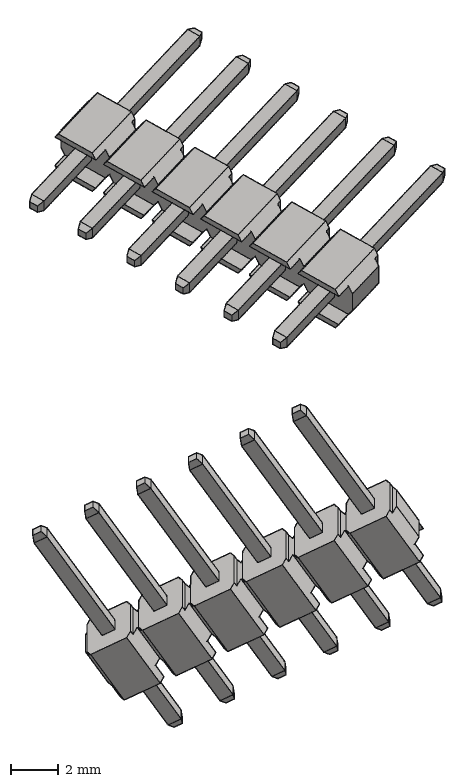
import cadquery as cq


pin_count = 6
row_length = 15.24
pitch = row_length / pin_count
body_height = pitch
flat_width = 1.77
side_height = 1.15
body_depth = 2.8
lip_thickness = 0.34
front_recess = 0.7
rear_recess = 0.21

pin_width = 0.64
pin_length = 11.8
pin_front = 3.0
tip_length = 0.3
tip_width = 0.41

body_front = -body_depth / 2
body_rear = body_depth / 2
pin_start = body_front - pin_front
pin_end = pin_start + pin_length

inner_height = body_height - 2 * lip_thickness
slope_run = (pitch - flat_width) / (body_height - side_height)
inner_width = flat_width + 2 * lip_thickness * slope_run

cell_centers = [(i - (pin_count - 1) / 2) * pitch for i in range(pin_count)]


def box_between(x_center, width, y_min, y_max, height):
    """Box centred on x_center and on Z = 0, reaching from y_min to y_max."""
    return (
        cq.Workplane("XY")
        .box(width, y_max - y_min, height)
        .translate((x_center, (y_min + y_max) / 2, 0))
    )


def housing_cell(x_center):
    """Octagonal cell running the full depth of the housing."""
    upper_right = [(flat_width / 2, body_height / 2), (pitch / 2, side_height / 2)]
    right_side = upper_right + [(x, -z) for x, z in reversed(upper_right)]
    left_side = [(-x, -z) for x, z in right_side]
    return (
        cq.Workplane("XZ")
        .polyline(right_side + left_side)
        .close()
        .extrude(body_depth / 2, both=True)
        .translate((x_center, 0, 0))
    )


def rear_gap(x_center):
    """Shallow upright groove in the rear face where two cells meet."""
    gap_width = pitch - inner_width
    return box_between(x_center, gap_width, body_rear - rear_recess, body_rear, body_height)


def tip(x_center, y_base, y_end):
    """Tapered end of a pin, narrowing from y_base to y_end."""
    return (
        cq.Workplane("XZ", origin=(x_center, y_base, 0))
        .rect(pin_width, pin_width)
        .workplane(offset=y_base - y_end)
        .rect(tip_width, tip_width)
        .loft(ruled=True)
    )


def pin(x_center):
    """Square pin, tapered at both ends."""
    shank_start = pin_start + tip_length
    shank_end = pin_end - tip_length
    shank = box_between(x_center, pin_width, shank_start, shank_end, pin_width)
    front_tip = tip(x_center, shank_start, pin_start)
    rear_tip = tip(x_center, shank_end, pin_end)
    return shank.union(front_tip).union(rear_tip)


result = housing_cell(cell_centers[0])
for x in cell_centers[1:]:
    result = result.union(housing_cell(x))

result = result.cut(box_between(0, row_length, body_front, body_front + front_recess, inner_height))

for i in range(pin_count + 1):
    result = result.cut(rear_gap(i * pitch - row_length / 2))

for x in cell_centers:
    result = result.union(pin(x))